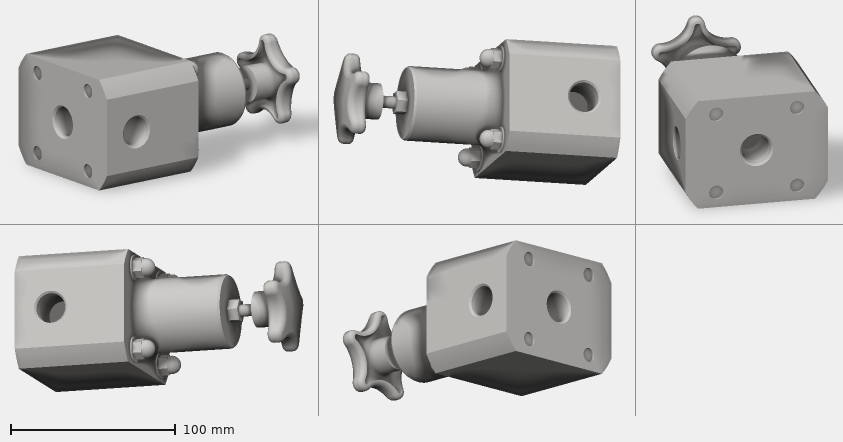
import cadquery as cq
import math

overall_length = 165.1

block_width = 88.8
block_height = 69.8
block_depth = 69.8
block_corner_diameter = 101.0

port_diameter = 18.3
port_mouth_diameter = 20.8
port_depth = 26.4
side_port_y = 22.6
bolt_spacing = 50.5
bolt_hole_diameter = 8.7
bolt_hole_depth = 1.7

washer_diameter = 15.8
washer_thickness = 1.0
cap_nut_flats = 11.0
cap_nut_hex_height = 5.5
cap_nut_neck_height = 1.5
cap_nut_dome_diameter = 11.0

bonnet_diameter = 45.4
bonnet_length = 53.7
bonnet_foot_radius = 6.5
bonnet_chamfer_length = 1.5
bonnet_chamfer_width = 0.8
jam_nut_flats = 12.7
jam_nut_height = 6.5
stem_diameter = 7.5
stem_exposed_length = 10.0

hub_diameter = 22.1
hub_length = 12.4
lobe_count = 5
lobe_center_radius = 23.6
lobe_radius = 5.1
scallop_radius = 14.9
knob_dome_radius = 99.0
knob_top_fillet = 3.5
knob_rim_fillet = 3.0
knob_wall = 3.1
knob_pocket_depth = 5.0
pocket_floor_fillet = 3.3

bonnet_top_y = block_depth + bonnet_length
stem_start_y = bonnet_top_y + jam_nut_height
hub_start_y = stem_start_y + stem_exposed_length
knob_rim_y = hub_start_y + hub_length
knob_floor_y = knob_rim_y + knob_pocket_depth
knob_thickness = overall_length - knob_rim_y


def plane_at(y):
    """Sketch plane across the valve axis: local x is +X, local y is -Z, extrusion goes toward +Y."""
    return cq.Workplane("XZ", origin=(0, y, 0)).transformed(rotate=(180, 0, 0))


def cylinder(y, diameter, length):
    return plane_at(y).circle(diameter / 2).extrude(length)


def hexagon(y, flats, height, turn=0):
    corners = flats / math.cos(math.pi / 6)
    prism = plane_at(y).polygon(6, corners).extrude(height)
    return prism.rotate((0, 0, 0), (0, 1, 0), turn)


def port_cutter():
    """Blind port along +Y from the origin, with a 45 degree countersunk mouth."""
    bore_radius = port_diameter / 2
    mouth_radius = port_mouth_diameter / 2
    profile = [
        (0, 0),
        (mouth_radius, 0),
        (bore_radius, mouth_radius - bore_radius),
        (bore_radius, port_depth),
        (0, port_depth),
    ]
    return cq.Workplane("XY").polyline(profile).close().revolve(360, (0, 0, 0), (0, 1, 0))


def bolt_positions():
    half = bolt_spacing / 2
    return [(x, z) for x in (-half, half) for z in (-half, half)]


def make_block():
    block = plane_at(0).rect(block_width, block_height).extrude(block_depth)
    block = block.intersect(cylinder(0, block_corner_diameter, block_depth))
    block = block.cut(port_cutter())
    for side in (-1, 1):
        side_port = port_cutter().rotate((0, 0, 0), (0, 0, 1), 90 * side)
        block = block.cut(side_port.translate((side * block_width / 2, side_port_y, 0)))
    bolt_hole = cylinder(0, bolt_hole_diameter, bolt_hole_depth)
    for x, z in bolt_positions():
        block = block.cut(bolt_hole.translate((x, 0, z)))
    return block


def make_cap_nut():
    hex_y = block_depth + washer_thickness
    neck_y = hex_y + cap_nut_hex_height
    dome_y = neck_y + cap_nut_neck_height
    dome = cq.Workplane("XY").sphere(cap_nut_dome_diameter / 2).translate((0, dome_y, 0))
    return (
        cylinder(block_depth, washer_diameter, washer_thickness)
        .union(hexagon(hex_y, cap_nut_flats, cap_nut_hex_height, 90))
        .union(cylinder(neck_y, cap_nut_dome_diameter, cap_nut_neck_height))
        .union(dome)
    )


def make_bonnet():
    """Turned bonnet with a concave foot blending into the block and a chamfered top edge."""
    radius = bonnet_diameter / 2
    foot = bonnet_foot_radius
    bend = foot * (1 - math.sqrt(0.5))
    return (
        cq.Workplane("XY")
        .moveTo(0, block_depth)
        .lineTo(radius + foot, block_depth)
        .threePointArc((radius + bend, block_depth + bend), (radius, block_depth + foot))
        .lineTo(radius, bonnet_top_y - bonnet_chamfer_length)
        .lineTo(radius - bonnet_chamfer_width, bonnet_top_y)
        .lineTo(0, bonnet_top_y)
        .close()
        .revolve(360, (0, 0, 0), (0, 1, 0))
    )


def polar(radius, angle):
    """Point across the axis, with the angle measured from +Z."""
    return (radius * math.sin(angle), -radius * math.cos(angle))


def star(y, inset, height):
    """Prism of rounded lobes joined by tangent concave scallops, shrunk inward by inset."""
    tip_radius = lobe_radius - inset
    valley_radius = scallop_radius + inset
    half_pitch = math.pi / lobe_count
    half_chord = lobe_center_radius * math.sin(half_pitch)
    chord_distance = lobe_center_radius * math.cos(half_pitch)
    reach = lobe_radius + scallop_radius
    scallop_distance = chord_distance + math.sqrt(reach**2 - half_chord**2)
    tangent_share = tip_radius / reach

    def tangent_point(lobe_angle, scallop_angle):
        lobe = polar(lobe_center_radius, lobe_angle)
        scallop = polar(scallop_distance, scallop_angle)
        return tuple(a + (b - a) * tangent_share for a, b in zip(lobe, scallop))

    outline = plane_at(y).moveTo(*tangent_point(0, -half_pitch))
    for index in range(lobe_count):
        lobe_angle = 2 * half_pitch * index
        valley_angle = lobe_angle + half_pitch
        next_lobe_angle = valley_angle + half_pitch
        outline = outline.threePointArc(
            polar(lobe_center_radius + tip_radius, lobe_angle),
            tangent_point(lobe_angle, valley_angle),
        )
        outline = outline.threePointArc(
            polar(scallop_distance - valley_radius, valley_angle),
            tangent_point(next_lobe_angle, valley_angle),
        )
    return outline.close().extrude(height)


def make_knob():
    """Star knob with a domed back, rounded edges and a hollow front around the hub."""
    dome = cq.Workplane("XY").sphere(knob_dome_radius)
    dome = dome.translate((0, overall_length - knob_dome_radius, 0))
    knob = star(knob_rim_y, 0, 2 * knob_thickness).intersect(dome)
    knob = knob.faces(">Y").edges().fillet(knob_top_fillet)
    knob = knob.faces("<Y").edges().fillet(knob_rim_fillet)
    pocket = star(knob_rim_y, knob_wall, knob_pocket_depth)
    pocket = pocket.faces(">Y").edges().fillet(pocket_floor_fillet)
    knob = knob.cut(pocket)

    hub_radius = hub_diameter / 2
    root = pocket_floor_fillet
    bend = root * (1 - math.sqrt(0.5))
    hub = (
        cq.Workplane("XY")
        .moveTo(0, hub_start_y)
        .lineTo(hub_radius, hub_start_y)
        .lineTo(hub_radius, knob_floor_y - root)
        .threePointArc((hub_radius + bend, knob_floor_y - bend), (hub_radius + root, knob_floor_y))
        .lineTo(0, knob_floor_y)
        .close()
        .revolve(360, (0, 0, 0), (0, 1, 0))
    )
    return knob.union(hub)


result = make_block().union(make_bonnet())
for nut_x, nut_z in bolt_positions():
    result = result.union(make_cap_nut().translate((nut_x, 0, nut_z)))
result = result.union(hexagon(bonnet_top_y, jam_nut_flats, jam_nut_height))
result = result.union(cylinder(stem_start_y, stem_diameter, stem_exposed_length))
result = result.union(make_knob())